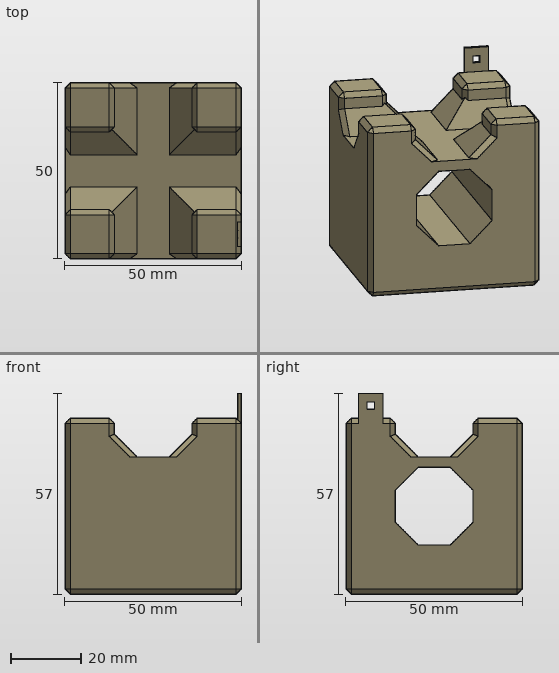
import cadquery as cq
import math

side = 50.0
half_side = side / 2
bevel = 1.5

octagon_flats = 22.0
octagon_sides = 8
octagon_diameter = octagon_flats / math.cos(math.pi / octagon_sides)
vertex_turn = 180 / octagon_sides

tab_thickness = 1.0
tab_width = 7.0
overall_height = 57.0
tab_rise = overall_height - side
tab_hole = 2.0
post_width = (side - octagon_flats) / 2
tab_y = -half_side + post_width / 2

tolerance = 0.005


def octagonal_prism(plane, level):
    """Octagonal prism as long as the cube, centred on the Z axis at the given height."""
    return (
        cq.Workplane(plane, origin=(0, 0, level))
        .transformed(rotate=(0, 0, vertex_turn))
        .polygon(octagon_sides, octagon_diameter)
        .extrude(half_side, both=True)
    )


def is_bevelled(edge):
    """True for the outer edges of the cube and posts, except those of the channel floor."""
    box = edge.BoundingBox()
    center = edge.Center()
    horizontal = box.zlen < tolerance
    vertical = box.xlen < tolerance and box.ylen < tolerance
    if horizontal:
        return center.z < tolerance or center.z > side - tolerance
    on_outer_face = max(abs(center.x), abs(center.y)) > half_side - tolerance
    return vertical or on_outer_face


def make_block():
    """Cube with crossed half-octagon channels that leave four bevelled corner posts."""
    block = cq.Workplane("XY").box(side, side, side, centered=(True, True, False))
    for plane in ("YZ", "XZ"):
        block = block.cut(octagonal_prism(plane, side))
    bevelled_edges = block.edges().filter(is_bevelled)
    return bevelled_edges.chamfer(bevel)


def make_tab():
    """Thin plate flush with the +X face, rooted below the post bevel, with a square hole."""
    tab_x = half_side - tab_thickness / 2
    tab = cq.Workplane("XY", origin=(tab_x, tab_y, side - bevel)).box(
        tab_thickness, tab_width, tab_rise + bevel, centered=(True, True, False)
    )
    hole = cq.Workplane("XY", origin=(tab_x, tab_y, side + tab_rise / 2)).box(
        tab_thickness, tab_hole, tab_hole
    )
    return tab.cut(hole)


tunnel = octagonal_prism("YZ", half_side)
result = make_block().cut(tunnel).union(make_tab())